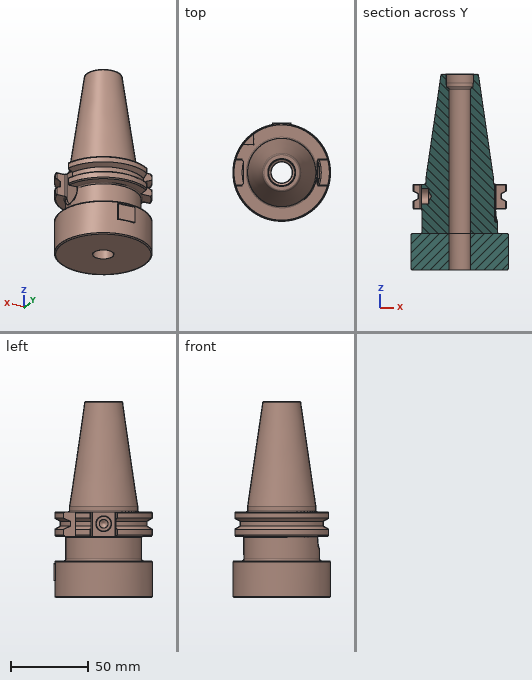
import cadquery as cq
import math

TOTAL_HEIGHT = 127.2
OUTER_RADIUS = 63.5 / 2
TOTAL_DEPTH_Y = 64.0

NUT_HEIGHT = 23.9
NUT_CHAMFER = 0.8

PAD_WIDTH = 12.0
PAD_HEIGHT = 11.1
PAD_BOTTOM = 11.0
PAD_FACE_Y = TOTAL_DEPTH_Y - OUTER_RADIUS

NECK_RADIUS = 24.7
NECK_LOWER_FILLET = 1.0
NECK_UPPER_FILLET = 0.8

FLANGE_BOTTOM = 39.8
FLANGE_TOP = 55.7
FLANGE_CHAMFER = 0.8
GROOVE_HEIGHT = 48.0
GROOVE_RADIUS = 28.2
GROOVE_FLOOR_WIDTH = 3.2
GROOVE_FLANK_ANGLE = 30.0
GROOVE_FLANK_RISE = (OUTER_RADIUS - GROOVE_RADIUS) * math.tan(math.radians(GROOVE_FLANK_ANGLE))
GROOVE_FLOOR_HALF = GROOVE_FLOOR_WIDTH / 2
GROOVE_MOUTH_HALF = GROOVE_FLOOR_HALF + GROOVE_FLANK_RISE

GAUGE_RADIUS = 44.4 / 2
GAUGE_HEIGHT = 59.2
TAPER_RATIO = 7 / 24 / 2
TIP_RADIUS = GAUGE_RADIUS - (TOTAL_HEIGHT - GAUGE_HEIGHT) * TAPER_RATIO
TIP_FILLET = 0.8
SHANK_FILLET = 0.8

THROUGH_RADIUS = 6.9
MOUTH_RADIUS = 9.0
BORE_RADIUS = 8.7
BORE_DEPTH = 5.9
RELIEF_RADIUS = 8.5
RELIEF_DEPTH = 8.3
SEAT_DEPTH = 9.5

SLOT_HALF_WIDTH = 8.1
SLOT_LEFT_FLOOR = 25.0
SLOT_RIGHT_FLOOR = 22.8
SLOT_END_HEIGHT = 30.9
SLOT_FLOOR_CHAMFER = 0.9
SLOT_MOUTH_CHAMFER = 1.0
SLOT_TOP_CHAMFER = 0.5
SLOT_RIM_X = math.sqrt(OUTER_RADIUS**2 - SLOT_HALF_WIDTH**2)

CHIP_MOUTH_RADIUS = 5.1
CHIP_HOLE_RADIUS = 4.8
CHIP_HOLE_DEPTH = 4.8
CHIP_TIP_RADIUS = 2.8
CHIP_TIP_ANGLE = 118.0
CHIP_TIP_DEPTH = CHIP_TIP_RADIUS / math.tan(math.radians(CHIP_TIP_ANGLE / 2))

NOTCH_OFFSET = 18.2

CLEARANCE = 1.3


def make_nut():
    nut = cq.Workplane("XY").circle(OUTER_RADIUS).extrude(NUT_HEIGHT)
    nut = nut.faces("<Z or >Z").chamfer(NUT_CHAMFER)
    pad = (
        cq.Workplane("XY", origin=(0, 0, PAD_BOTTOM))
        .box(PAD_WIDTH, PAD_FACE_Y, PAD_HEIGHT, centered=(True, False, False))
    )
    return nut.union(pad).cut(cq.Workplane("XY").circle(THROUGH_RADIUS).extrude(NUT_HEIGHT))


def arc_midpoint(center, radius, degrees):
    angle = math.radians(degrees)
    return (center[0] + radius * math.cos(angle), center[1] + radius * math.sin(angle))


def revolved_holder():
    """Neck, flange, shank and axial bore as one profile of (radius, height) points."""
    lower_center = (NECK_RADIUS + NECK_LOWER_FILLET, NUT_HEIGHT + NECK_LOWER_FILLET)
    upper_center = (NECK_RADIUS + NECK_UPPER_FILLET, FLANGE_BOTTOM - NECK_UPPER_FILLET)
    shank_center = (GAUGE_RADIUS + SHANK_FILLET, FLANGE_TOP + SHANK_FILLET)
    profile = (
        cq.Workplane("XZ")
        .moveTo(THROUGH_RADIUS, NUT_HEIGHT)
        .lineTo(lower_center[0], NUT_HEIGHT)
        .threePointArc(arc_midpoint(lower_center, NECK_LOWER_FILLET, 225), (NECK_RADIUS, lower_center[1]))
        .lineTo(NECK_RADIUS, upper_center[1])
        .threePointArc(arc_midpoint(upper_center, NECK_UPPER_FILLET, 135), (upper_center[0], FLANGE_BOTTOM))
        .lineTo(OUTER_RADIUS - FLANGE_CHAMFER, FLANGE_BOTTOM)
        .lineTo(OUTER_RADIUS, FLANGE_BOTTOM + FLANGE_CHAMFER)
        .lineTo(OUTER_RADIUS, GROOVE_HEIGHT - GROOVE_MOUTH_HALF)
        .lineTo(GROOVE_RADIUS, GROOVE_HEIGHT - GROOVE_FLOOR_HALF)
        .lineTo(GROOVE_RADIUS, GROOVE_HEIGHT + GROOVE_FLOOR_HALF)
        .lineTo(OUTER_RADIUS, GROOVE_HEIGHT + GROOVE_MOUTH_HALF)
        .lineTo(OUTER_RADIUS, FLANGE_TOP - FLANGE_CHAMFER)
        .lineTo(OUTER_RADIUS - FLANGE_CHAMFER, FLANGE_TOP)
        .lineTo(shank_center[0], FLANGE_TOP)
        .threePointArc(arc_midpoint(shank_center, SHANK_FILLET, 225), (GAUGE_RADIUS, shank_center[1]))
        .lineTo(GAUGE_RADIUS, GAUGE_HEIGHT)
        .lineTo(TIP_RADIUS, TOTAL_HEIGHT)
        .lineTo(MOUTH_RADIUS, TOTAL_HEIGHT)
        .lineTo(BORE_RADIUS, TOTAL_HEIGHT - (MOUTH_RADIUS - BORE_RADIUS))
        .lineTo(BORE_RADIUS, TOTAL_HEIGHT - BORE_DEPTH)
        .lineTo(RELIEF_RADIUS, TOTAL_HEIGHT - RELIEF_DEPTH)
        .lineTo(THROUGH_RADIUS, TOTAL_HEIGHT - SEAT_DEPTH)
        .close()
    )
    holder = profile.revolve(360, (0, 0, 0), (0, 1, 0))
    tip_rim = cq.selectors.RadiusNthSelector(-1)
    return holder.faces(">Z").edges(tip_rim).fillet(TIP_FILLET)


def slot_cutter(floor_x):
    """Drive slot on the +X side: round lower end, chamfered floor corners and edges."""
    length = OUTER_RADIUS + CLEARANCE - floor_x
    end_center = SLOT_END_HEIGHT + SLOT_HALF_WIDTH
    slot = (
        cq.Workplane("YZ", origin=(floor_x, 0, 0))
        .moveTo(-SLOT_HALF_WIDTH, FLANGE_TOP + CLEARANCE)
        .lineTo(-SLOT_HALF_WIDTH, end_center)
        .threePointArc((0, SLOT_END_HEIGHT), (SLOT_HALF_WIDTH, end_center))
        .lineTo(SLOT_HALF_WIDTH, FLANGE_TOP + CLEARANCE)
        .close()
        .extrude(length)
    )
    floor_corners = slot.faces("<X").edges("not(|Y)")
    slot = floor_corners.chamfer(SLOT_FLOOR_CHAMFER)

    mouth_start = SLOT_RIM_X - SLOT_MOUTH_CHAMFER
    mouth_end = OUTER_RADIUS + CLEARANCE
    mouth_half = SLOT_HALF_WIDTH + mouth_end - mouth_start
    mouth = (
        cq.Workplane("XY", origin=(0, 0, FLANGE_BOTTOM))
        .polyline([
            (mouth_start, -SLOT_HALF_WIDTH),
            (mouth_end, -mouth_half),
            (mouth_end, mouth_half),
            (mouth_start, SLOT_HALF_WIDTH),
        ])
        .close()
        .extrude(FLANGE_TOP - FLANGE_BOTTOM)
    )

    bevel_bottom = FLANGE_TOP - SLOT_TOP_CHAMFER
    bevel_half = SLOT_HALF_WIDTH + SLOT_TOP_CHAMFER
    bevel = (
        cq.Workplane("YZ", origin=(floor_x + SLOT_FLOOR_CHAMFER, 0, 0))
        .polyline([
            (-SLOT_HALF_WIDTH, bevel_bottom),
            (SLOT_HALF_WIDTH, bevel_bottom),
            (bevel_half, FLANGE_TOP),
            (-bevel_half, FLANGE_TOP),
        ])
        .close()
        .extrude(length - SLOT_FLOOR_CHAMFER)
    )
    return slot.union(mouth).union(bevel)


def chip_hole_cutter():
    """Flat-bottomed hole from the -X slot floor, with a conical drill point at its centre."""
    return (
        cq.Workplane("XY")
        .polyline([
            (0, -CLEARANCE),
            (CHIP_MOUTH_RADIUS, -CLEARANCE),
            (CHIP_MOUTH_RADIUS, 0),
            (CHIP_HOLE_RADIUS, CHIP_MOUTH_RADIUS - CHIP_HOLE_RADIUS),
            (CHIP_HOLE_RADIUS, CHIP_HOLE_DEPTH),
            (CHIP_TIP_RADIUS, CHIP_HOLE_DEPTH),
            (0, CHIP_HOLE_DEPTH + CHIP_TIP_DEPTH),
        ])
        .close()
        .revolve(360, (0, 0, 0), (0, 1, 0))
        .rotate((0, 0, 0), (0, 0, 1), -90)
        .translate((-SLOT_LEFT_FLOOR, 0, GROOVE_HEIGHT))
    )


def notch_cutter():
    return (
        cq.Workplane("XY", origin=(-NOTCH_OFFSET, NOTCH_OFFSET, FLANGE_BOTTOM))
        .rect(-OUTER_RADIUS, OUTER_RADIUS, centered=False)
        .extrude(FLANGE_TOP - FLANGE_BOTTOM)
    )


def make_holder():
    holder = revolved_holder()
    holder = holder.cut(slot_cutter(SLOT_RIGHT_FLOOR))
    holder = holder.cut(slot_cutter(SLOT_LEFT_FLOOR).rotate((0, 0, 0), (0, 0, 1), 180))
    holder = holder.cut(chip_hole_cutter())
    return holder.cut(notch_cutter())


nut = make_nut()
holder = make_holder()

result = cq.Compound.makeCompound([nut.val(), holder.val()])